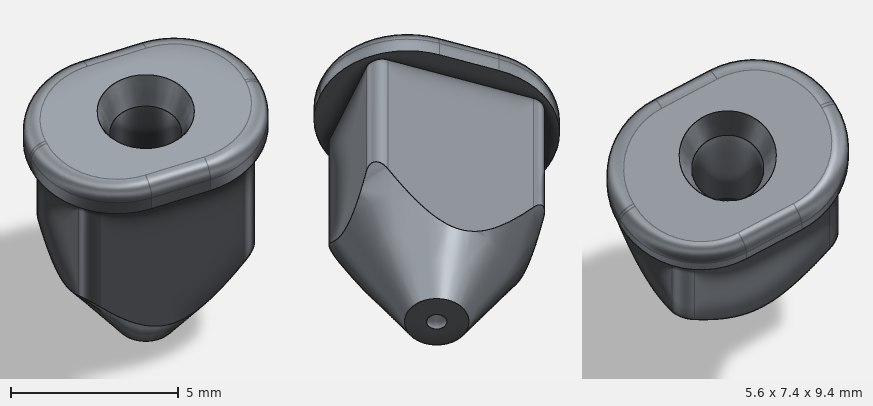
import cadquery as cq
import math

total_height = 9.4
flange_thickness = 1.0
flange_bottom = total_height - flange_thickness

flange_width = 5.6
flange_length = 7.4
flange_corner_radius = 2.75
flange_edge_fillet = 0.5

shank_width = 4.155
shank_length = 5.62
shank_corner_radius = 0.5

tip_radius = 0.96
nose_half_angle = 30.0

mouth_radius = 1.45
bore_radius = 1.07
outlet_radius = 0.3
mouth_depth = 1.0
funnel_half_angle = 12.5

nose_slope = math.tan(math.radians(nose_half_angle))
funnel_height = (bore_radius - outlet_radius) / math.tan(math.radians(funnel_half_angle))


def rounded_block(width, length, corner_radius, bottom, height):
    """Upright block, centred on the Z axis, with rounded vertical edges."""
    block = cq.Workplane("XY").workplane(offset=bottom).rect(width, length).extrude(height)
    return block.edges("|Z").fillet(corner_radius)


def revolve_profile(points):
    """Solid of revolution about Z from (radius, height) points."""
    return cq.Workplane("YZ").polyline(points).close().revolve(360, (0, 0), (0, 1))


def make_flange():
    flange = rounded_block(
        flange_width, flange_length, flange_corner_radius, flange_bottom, flange_thickness
    )
    return flange.faces(">Z").edges().fillet(flange_edge_fillet)


def make_shank():
    shank = rounded_block(shank_width, shank_length, shank_corner_radius, 0, flange_bottom)
    nose_cone = revolve_profile([
        (0, 0),
        (tip_radius, 0),
        (tip_radius + flange_bottom * nose_slope, flange_bottom),
        (0, flange_bottom),
    ])
    return shank.intersect(nose_cone)


def make_bore():
    return revolve_profile([
        (0, 0),
        (outlet_radius, 0),
        (bore_radius, funnel_height),
        (bore_radius, total_height - mouth_depth),
        (mouth_radius, total_height),
        (0, total_height),
    ])


result = make_flange().union(make_shank()).cut(make_bore())